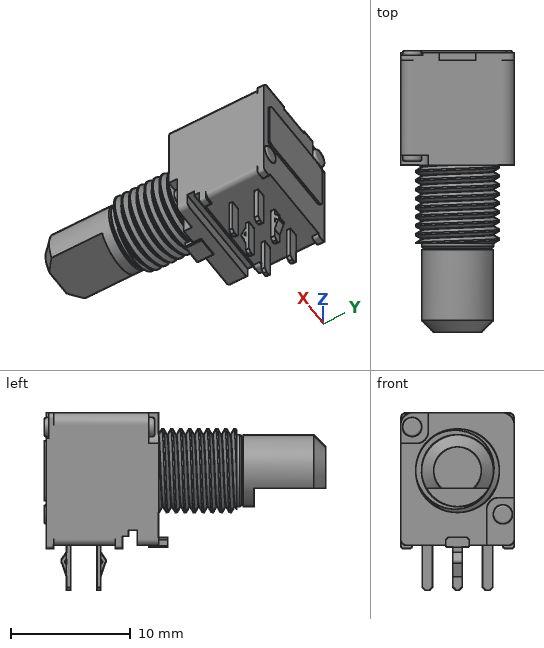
import cadquery as cq
import math


BODY_WIDTH = 9.5
BODY_TOP = 4.85
BODY_BOTTOM = -6.25
BODY_LENGTH = 9.4
TOP_EDGE_RADIUS = 1.01
BOTTOM_EDGE_RADIUS = 0.5
RIM_EDGE_RADIUS = 0.5
RIM_LENGTH = 0.64
HALF_WIDTH = BODY_WIDTH / 2
RIM_START = BODY_LENGTH - RIM_LENGTH

SEAM_Y = 2.5
SLOT_FRONT_Y = 1.8
SLOT_BACK_Y = 3.0
SLOT_DEEP_TOP = -5.0
SLOT_SHALLOW_TOP = -5.49

FOOT_WIDTH = 0.97
FOOT_BOTTOM = -6.52
FOOT_RADIUS = 0.25

REAR_NOTCH_WIDTH = 3.05
REAR_NOTCH_DEPTH = 0.25

RIVET_DIAMETER = 1.6
RIVET_EDGE_RADIUS = 0.2
RIVET_X = 3.8
RIVET_Z = 3.65
FRONT_RECESS_DEPTH = 0.8
FRONT_RECESS_WIDTH = 2.3
FRONT_RECESS_RADIUS = 1.0
FRONT_UPPER_FLOOR = 2.28
FRONT_LOWER_CEILING = -2.25
FRONT_RIVET_HEIGHT = 0.47
REAR_RECESS_DEPTH = 0.24
REAR_RECESS_WIDTH = 1.85
REAR_RECESS_FLOOR = 2.7
REAR_RAISE = 0.16

PLATE_WIDTH = 8.2
PLATE_HEIGHT = 5.0
PLATE_RADIUS = 0.5

KEY_WIDTH = 2.0
KEY_TOP = -5.58
KEY_BOTTOM = -6.38
KEY_BACK_Y = 0.8
KEY_FRONT_Y = -0.78
KEY_TOP_CHAMFER = 0.21
KEY_BOTTOM_CHAMFER = 0.1

BUSHING_DIAMETER = 6.03
BUSHING_LENGTH = 6.97
BUSHING_CHAMFER = 0.16
THREAD_DIAMETER = 7.0
THREAD_LENGTH = 6.52
THREAD_PITCH = 0.75
THREAD_CREST = 0.15
THREAD_FLANK_ANGLE = 30
THREAD_OVERLAP = 0.02
THREAD_SPARE_TURNS = 2
THREAD_TOP_CREST_Y = -0.35

SHAFT_DIAMETER = 6.0
SHAFT_END_Y = -14.0
SHAFT_CHAMFER = 1.01
NECK_DIAMETER = 3.89
NECK_LENGTH = 0.1
FLAT_LENGTH = 6.0
FLAT_Z = -1.48

TERMINAL_SPACING = 2.52
ROW_FRONT_FACES = {"front": 4.83, "rear": 7.32}
TERMINAL_THICKNESS = {"front": 0.33, "rear": 0.38}
OUTER_TERMINAL_WIDTH = 0.9
MIDDLE_TERMINAL_WIDTH = 0.8
TERMINAL_TIP = -10.0
TERMINAL_CHAMFER = 0.28
TERMINAL_EMBED = 0.47

BARB_REACH = 0.45
BARB_SHOULDER_REACH = 0.38
BARB_TOP = -6.8
BARB_CREST_TOP = -7.37
BARB_CREST_BOTTOM = -7.72
BARB_BOTTOM = -8.85
BARB_HOLE_REACH = 0.15
BARB_HOLE_TOP = -7.42
BARB_HOLE_BOTTOM = -7.82


def box(x_range, y_range, z_range):
    """Box between two corners given as ranges along each axis."""
    spans = [high - low for low, high in (x_range, y_range, z_range)]
    corner = (x_range[0], y_range[0], z_range[0])
    return cq.Workplane("XY").box(*spans, centered=False).translate(corner)


def cylinder(diameter, y_start, y_end, x=0, z=0):
    """Cylinder along Y."""
    disc = cq.Workplane("XZ", origin=(x, y_start, z)).circle(diameter / 2)
    return disc.extrude(y_start - y_end)


def mirrored_in_x(solid):
    return solid.union(solid.mirror("YZ"))


def make_housing():
    sides = (-HALF_WIDTH, HALF_WIDTH)
    heights = (BODY_BOTTOM, BODY_TOP)
    shell = box(sides, (0, RIM_START), heights)
    shell = shell.edges("|Y and >Z").fillet(TOP_EDGE_RADIUS)
    shell = shell.edges("|Y and <Z").fillet(BOTTOM_EDGE_RADIUS)
    rim = box(sides, (RIM_START, BODY_LENGTH), heights)
    rim = rim.edges("|Y and >Z").fillet(RIM_EDGE_RADIUS)
    return shell.union(rim)


def make_feet():
    feet = None
    for y_end in (BODY_LENGTH, SLOT_BACK_Y + RIM_LENGTH):
        foot = box(
            (-HALF_WIDTH, -HALF_WIDTH + FOOT_WIDTH),
            (y_end - RIM_LENGTH, y_end),
            (FOOT_BOTTOM, BODY_BOTTOM + BOTTOM_EDGE_RADIUS),
        )
        foot = foot.edges("|Y and <Z").fillet(FOOT_RADIUS)
        feet = foot if feet is None else feet.union(foot)
    return mirrored_in_x(feet)


def make_cross_slot():
    across = (-HALF_WIDTH, HALF_WIDTH)
    deep = box(across, (SLOT_FRONT_Y, SEAM_Y), (FOOT_BOTTOM, SLOT_DEEP_TOP))
    shallow = box(across, (SEAM_Y, SLOT_BACK_Y), (FOOT_BOTTOM, SLOT_SHALLOW_TOP))
    return deep.union(shallow)


def make_rear_notch():
    half = REAR_NOTCH_WIDTH / 2
    return box((-half, half), (RIM_START, BODY_LENGTH), (BODY_TOP - REAR_NOTCH_DEPTH, BODY_TOP))


def make_front_recesses():
    depths = (0, FRONT_RECESS_DEPTH)
    inner_x = HALF_WIDTH - FRONT_RECESS_WIDTH
    upper = box((-HALF_WIDTH, -inner_x), depths, (FRONT_UPPER_FLOOR, BODY_TOP))
    upper = upper.edges("|Y and >X and <Z").fillet(FRONT_RECESS_RADIUS)
    lower = box((inner_x, HALF_WIDTH), depths, (BODY_BOTTOM, FRONT_LOWER_CEILING))
    lower = lower.edges("|Y and <X and >Z").fillet(FRONT_RECESS_RADIUS)
    return upper.union(lower)


def make_rear_recess():
    return box(
        (-HALF_WIDTH, -HALF_WIDTH + REAR_RECESS_WIDTH),
        (BODY_LENGTH - REAR_RECESS_DEPTH, BODY_LENGTH),
        (REAR_RECESS_FLOOR, BODY_TOP),
    )


def make_rivets():
    rear_y = BODY_LENGTH + REAR_RAISE
    front_y = FRONT_RECESS_DEPTH - FRONT_RIVET_HEIGHT
    rivets = None
    for side in (-1, 1):
        rivet = cylinder(RIVET_DIAMETER, front_y, rear_y, side * RIVET_X, -side * RIVET_Z)
        rivet = rivet.edges().fillet(RIVET_EDGE_RADIUS)
        rivets = rivet if rivets is None else rivets.union(rivet)
    return rivets


def make_rear_plate():
    half_width = PLATE_WIDTH / 2
    half_height = PLATE_HEIGHT / 2
    plate = box(
        (-half_width, half_width),
        (BODY_LENGTH, BODY_LENGTH + REAR_RAISE),
        (-half_height, half_height),
    )
    return plate.edges("|Y").fillet(PLATE_RADIUS)


def make_key():
    half = KEY_WIDTH / 2
    key = box((-half, half), (KEY_FRONT_Y, KEY_BACK_Y), (KEY_BOTTOM, KEY_TOP))
    key = key.edges("|Y and >Z").chamfer(KEY_TOP_CHAMFER)
    return key.edges("|Y and <Z").chamfer(KEY_BOTTOM_CHAMFER)


def make_thread():
    """Right-handed helical ridge, trimmed flat at both ends of the thread."""
    root_radius = BUSHING_DIAMETER / 2 - THREAD_OVERLAP
    crest_radius = THREAD_DIAMETER / 2
    crest_half = THREAD_CREST / 2
    flank_run = (crest_radius - root_radius) * math.tan(math.radians(THREAD_FLANK_ANGLE))
    root_half = crest_half + flank_run
    turns = math.ceil(THREAD_LENGTH / THREAD_PITCH) + THREAD_SPARE_TURNS
    helix = cq.Wire.makeHelix(THREAD_PITCH, turns * THREAD_PITCH, root_radius)
    profile = cq.Workplane("XZ").polyline([
        (root_radius, -root_half),
        (crest_radius, -crest_half),
        (crest_radius, crest_half),
        (root_radius, root_half),
    ]).close()
    ridge = profile.sweep(cq.Workplane(obj=helix), isFrenet=True)
    ridge = ridge.rotate((0, 0, 0), (0, 0, 1), 90).rotate((0, 0, 0), (1, 0, 0), 90)
    ridge = ridge.translate((0, THREAD_TOP_CREST_Y + THREAD_PITCH, 0))
    return ridge.intersect(cylinder(THREAD_DIAMETER + THREAD_PITCH, 0, -THREAD_LENGTH))


def make_bushing():
    core = cylinder(BUSHING_DIAMETER, 0, -BUSHING_LENGTH)
    core = core.faces("<Y").chamfer(BUSHING_CHAMFER)
    return core.union(make_thread())


def make_shaft():
    shaft_start = -BUSHING_LENGTH - NECK_LENGTH
    neck = cylinder(NECK_DIAMETER, 0, shaft_start)
    shaft = cylinder(SHAFT_DIAMETER, shaft_start, SHAFT_END_Y)
    shaft = shaft.faces("<Y").chamfer(SHAFT_CHAMFER)
    radius = SHAFT_DIAMETER / 2
    flat = box((-radius, radius), (SHAFT_END_Y, SHAFT_END_Y + FLAT_LENGTH), (-radius, FLAT_Z))
    return neck.union(shaft.cut(flat))


def make_terminal(row, x, width):
    front_y = ROW_FRONT_FACES[row]
    terminal = box(
        (x - width / 2, x + width / 2),
        (front_y, front_y + TERMINAL_THICKNESS[row]),
        (TERMINAL_TIP, BODY_BOTTOM + TERMINAL_EMBED),
    )
    return terminal.edges("|Y and <Z").chamfer(TERMINAL_CHAMFER)


def make_barb(face_y, direction):
    """Bent strip on a terminal face; direction is the sign of Y in which it stands off."""
    crest_y = face_y + direction * BARB_REACH
    shoulder_y = face_y + direction * BARB_SHOULDER_REACH
    hole_y = face_y + direction * BARB_HOLE_REACH
    crest_middle = (BARB_CREST_TOP + BARB_CREST_BOTTOM) / 2
    strip = (
        cq.Workplane("YZ")
        .moveTo(face_y, BARB_TOP)
        .lineTo(shoulder_y, BARB_CREST_TOP)
        .threePointArc((crest_y, crest_middle), (shoulder_y, BARB_CREST_BOTTOM))
        .lineTo(face_y, BARB_BOTTOM)
        .close()
    )
    hole = cq.Workplane("YZ").polyline([
        (face_y, BARB_HOLE_TOP),
        (hole_y, (BARB_HOLE_TOP + BARB_HOLE_BOTTOM) / 2),
        (face_y, BARB_HOLE_BOTTOM),
    ]).close()
    half = MIDDLE_TERMINAL_WIDTH / 2
    return strip.extrude(half, both=True).cut(hole.extrude(half, both=True))


def make_terminals():
    terminals = cq.Workplane("XY")
    for row in ROW_FRONT_FACES:
        for side in (-1, 1):
            terminals = terminals.add(make_terminal(row, side * TERMINAL_SPACING, OUTER_TERMINAL_WIDTH))
        terminals = terminals.add(make_terminal(row, 0, MIDDLE_TERMINAL_WIDTH))
    return terminals.combine()


housing = make_housing().union(make_feet())
housing = housing.cut(make_cross_slot()).cut(make_rear_notch())
housing = housing.cut(make_front_recesses()).cut(make_rear_recess())
housing = housing.union(make_rivets()).union(make_rear_plate()).union(make_key())

front_barb = make_barb(ROW_FRONT_FACES["front"], -1)
rear_barb = make_barb(ROW_FRONT_FACES["rear"] + TERMINAL_THICKNESS["rear"], 1)

result = housing.union(make_terminals()).union(front_barb).union(rear_barb)
result = result.union(make_bushing()).union(make_shaft())